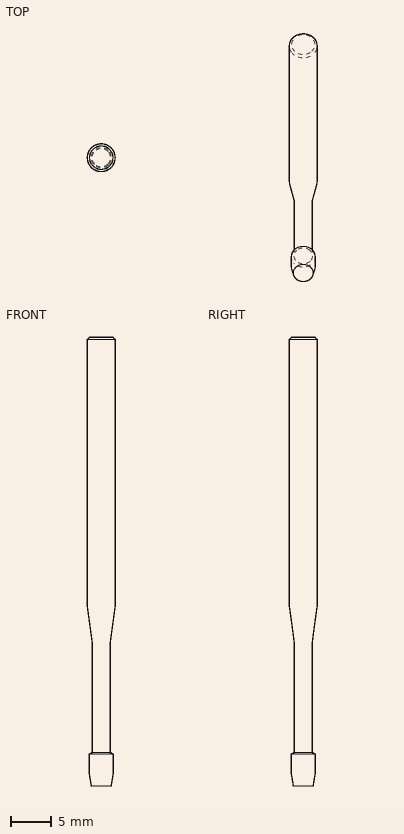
import cadquery as cq

total_length = 56.0

head_diameter = 3.0
tip_diameter = 2.5
tip_length = 1.5
head_length = 4.2
head_back_chamfer = 0.2

shank_diameter = 3.5
neck_diameter = 2.3
neck_end_z = 18.0
cone_length = 4.4
shank_end_chamfer = 0.3

head_radius = head_diameter / 2
tip_radius = tip_diameter / 2
shank_radius = shank_diameter / 2
neck_radius = neck_diameter / 2


def turned_body(outline):
    """Revolve a (radius, height) outline about Z."""
    return cq.Workplane("XZ").polyline(outline).close().revolve(360, (0, 0), (0, 1))


def make_cutting_head():
    return turned_body([
        (0, 0),
        (tip_radius, 0),
        (head_radius, tip_length),
        (head_radius, head_length - head_back_chamfer),
        (neck_radius, head_length),
        (0, head_length),
    ])


def make_shank():
    return turned_body([
        (0, head_length),
        (neck_radius, head_length),
        (neck_radius, neck_end_z),
        (shank_radius, neck_end_z + cone_length),
        (shank_radius, total_length - shank_end_chamfer),
        (shank_radius - shank_end_chamfer, total_length),
        (0, total_length),
    ])


cutting_head = make_cutting_head()
shank = make_shank()

result = cq.Compound.makeCompound([cutting_head.val(), shank.val()])